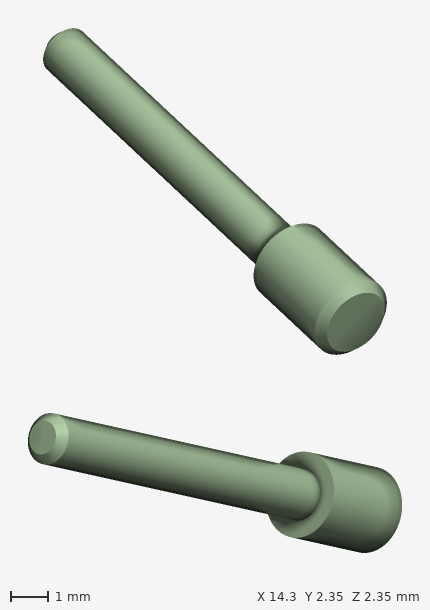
import cadquery as cq

total_length = 14.32
head_diameter = 2.35
head_length = 3.2
shank_diameter = 1.4
end_chamfer = 0.25

shank_length = total_length - head_length


def make_shank():
    """Thin shank with a chamfered tip at its -X end."""
    shank = cq.Workplane("YZ", origin=(-total_length / 2, 0, 0))
    shank = shank.circle(shank_diameter / 2).extrude(shank_length)
    return shank.faces("<X").chamfer(end_chamfer)


def make_head():
    """Cylindrical head with a chamfered outer end at +X."""
    head = cq.Workplane("YZ", origin=(total_length / 2 - head_length, 0, 0))
    head = head.circle(head_diameter / 2).extrude(head_length)
    return head.faces(">X").chamfer(end_chamfer)


result = make_shank().union(make_head())